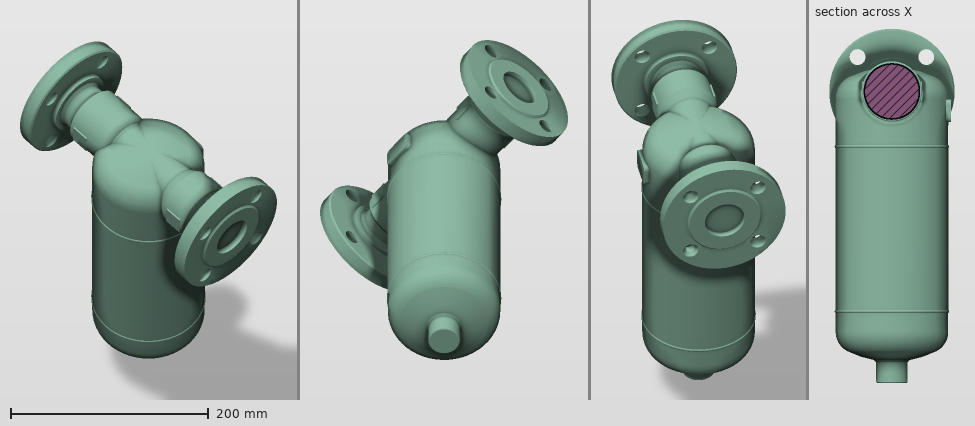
import cadquery as cq
import math


face_to_face = 251.0
flange_diameter = 127.0
flange_thickness = 16.0
flange_chamfer = 1.5
raised_face_diameter = 73.0
raised_face_height = 2.0
hub_diameter = 66.0
hub_length = 4.4
hub_fillet = 2.0
bolt_hole_diameter = 16.0
bolt_circle_diameter = 98.4
bolt_count = 4
bore_diameter = 41.2
bore_depth = 6.5

pipe_diameter = 49.1
weld_root_radius = 27.0
weld_length = 3.2
neck_end = 89.1
socket_cone_length = 3.9
socket_cone_radius = 28.3
socket_diameter = 61.0
socket_chamfer = 1.0
inlet_shoulder = 42.7
inlet_arc_end = 35.1
inlet_arc_end_radius = 25.5
inlet_blend_end = 31.9
outlet_cone_start = 54.6
outlet_cone_end = 43.8

pad_size = 20.0
pad_corner_radius = 1.0
pad_offset_x = 70.0

shell_diameter = 114.3
head_diameter = 114.0
crown_radius = 101.0
top_knuckle_radius = 24.3
bottom_knuckle_radius = 21.7
bottom_tangent_z = -243.5
weld_bead_z = (-55.7, -222.6)
weld_bead_width = 3.2
weld_bead_height = 1.0

drain_diameter = 32.0
drain_end_z = flange_diameter / 2 - 358.5
drain_chamfer = 1.0
drain_weld_size = 4.0
drain_weld_end_z = -274.0

plate_width = 33.5
plate_bottom_z = -31.0
plate_top_z = -8.0
plate_corner_radius = 5.0
plate_face_y = 60.0

head_radius = head_diameter / 2
half_length = face_to_face / 2
pipe_radius = pipe_diameter / 2
socket_radius = socket_diameter / 2


def revolve_about_x(outline):
    return outline.close().revolve(360, (0, 0, 0), (1, 0, 0))


def revolve_about_z(outline):
    return outline.close().revolve(360, (0, 0, 0), (0, 1, 0))


def make_flange():
    """Flange, hub and half of the plain pipe on the +X side."""
    flange_front = half_length - raised_face_height
    flange_back = flange_front - flange_thickness
    hub_end = flange_back - hub_length
    hub_radius = hub_diameter / 2
    flange_radius = flange_diameter / 2
    raised_face_radius = raised_face_diameter / 2
    outline = (
        cq.Workplane("XY")
        .moveTo(half_length, 0)
        .lineTo(half_length, raised_face_radius)
        .lineTo(flange_front, raised_face_radius + raised_face_height)
        .lineTo(flange_front, flange_radius)
        .lineTo(flange_back + flange_chamfer, flange_radius)
        .lineTo(flange_back, flange_radius - flange_chamfer)
        .lineTo(flange_back, hub_radius + hub_fillet)
        .radiusArc((flange_back - hub_fillet, hub_radius), hub_fillet)
        .lineTo(hub_end, hub_radius)
        .lineTo(hub_end, weld_root_radius)
        .lineTo(hub_end - weld_length, pipe_radius)
        .lineTo(0, pipe_radius)
        .lineTo(0, 0)
    )
    flange = revolve_about_x(outline)
    bolt_holes = (
        cq.Workplane("YZ")
        .workplane(offset=flange_back)
        .polarArray(bolt_circle_diameter / 2, 180 / bolt_count, 360, bolt_count)
        .circle(bolt_hole_diameter / 2)
        .extrude(flange_thickness)
    )
    bore = (
        cq.Workplane("YZ")
        .workplane(offset=half_length - bore_depth)
        .circle(bore_diameter / 2)
        .extrude(bore_depth)
    )
    return flange.cut(bolt_holes).cut(bore)


def start_socket_outline():
    """Welded outer end of a socket on the +X side, ending on the socket cylinder."""
    cone_end = neck_end - socket_cone_length
    return (
        cq.Workplane("XY")
        .moveTo(neck_end, 0)
        .lineTo(neck_end, pipe_radius)
        .lineTo(cone_end, socket_cone_radius)
        .lineTo(cone_end, socket_radius - socket_chamfer)
        .lineTo(cone_end - socket_chamfer, socket_radius)
    )


def add_pads(socket):
    """Square pads whose flat faces touch the front and back of the socket cylinder."""
    pads = (
        cq.Workplane("XY")
        .box(pad_size, socket_diameter, pad_size)
        .edges("|Y")
        .fillet(pad_corner_radius)
        .translate((pad_offset_x, 0, 0))
    )
    return socket.union(pads)


def make_inlet_socket():
    """Socket with a rounded shoulder, drawn on +X and mirrored to -X."""
    drop = socket_radius - inlet_arc_end_radius
    run = inlet_shoulder - inlet_arc_end
    shoulder_radius = (run**2 + drop**2) / (2 * drop)
    outline = (
        start_socket_outline()
        .lineTo(inlet_shoulder, socket_radius)
        .radiusArc((inlet_arc_end, inlet_arc_end_radius), -shoulder_radius)
        .lineTo(inlet_blend_end, pipe_radius)
        .lineTo(inlet_blend_end, 0)
    )
    return add_pads(revolve_about_x(outline)).mirror("YZ")


def make_outlet_socket():
    """Socket on +X with a conical shoulder."""
    outline = (
        start_socket_outline()
        .lineTo(outlet_cone_start, socket_radius)
        .lineTo(outlet_cone_end, pipe_radius)
        .lineTo(outlet_cone_end, 0)
    )
    return add_pads(revolve_about_x(outline))


def head_height(knuckle_radius):
    """Height of a domed head from its tangent line to its apex."""
    knuckle_center_r = head_radius - knuckle_radius
    return crown_radius - math.sqrt((crown_radius - knuckle_radius) ** 2 - knuckle_center_r**2)


def make_head(knuckle_radius, wall_length):
    """Head domed towards +Z: a spherical crown tangent to a knuckle, above a straight wall.

    The tangent line between the knuckle and the wall lies at Z = 0.
    """
    crown_center_z = head_height(knuckle_radius) - crown_radius
    knuckle_center_r = head_radius - knuckle_radius
    crown_angle = math.asin(knuckle_center_r / (crown_radius - knuckle_radius))
    knuckle_mid_angle = (crown_angle + math.pi / 2) / 2

    def crown_point(angle):
        return crown_radius * math.sin(angle), crown_center_z + crown_radius * math.cos(angle)

    knuckle_mid_point = (
        knuckle_center_r + knuckle_radius * math.sin(knuckle_mid_angle),
        knuckle_radius * math.cos(knuckle_mid_angle),
    )
    outline = (
        cq.Workplane("XZ")
        .moveTo(*crown_point(0))
        .threePointArc(crown_point(crown_angle / 2), crown_point(crown_angle))
        .threePointArc(knuckle_mid_point, (head_radius, 0))
        .lineTo(head_radius, -wall_length)
        .lineTo(0, -wall_length)
    )
    return revolve_about_z(outline)


def make_vessel():
    """Cylindrical shell between two domed heads; the top dome is level with the pipe crest."""
    upper_weld_z, lower_weld_z = weld_bead_z
    top_tangent_z = pipe_radius - head_height(top_knuckle_radius)
    shell = (
        cq.Workplane("XY")
        .workplane(offset=lower_weld_z)
        .circle(shell_diameter / 2)
        .extrude(upper_weld_z - lower_weld_z)
    )
    top_head = make_head(top_knuckle_radius, top_tangent_z - upper_weld_z)
    bottom_head = make_head(bottom_knuckle_radius, lower_weld_z - bottom_tangent_z).mirror("XY")
    top_head = top_head.translate((0, 0, top_tangent_z))
    bottom_head = bottom_head.translate((0, 0, bottom_tangent_z))
    return shell.union(top_head).union(bottom_head)


def make_weld_bead(center_z):
    """Rounded weld bead around the vessel."""
    bead_top = center_z + weld_bead_width / 2
    bead_bottom = center_z - weld_bead_width / 2
    outline = (
        cq.Workplane("XZ")
        .moveTo(0, bead_top)
        .lineTo(head_radius, bead_top)
        .threePointArc((head_radius + weld_bead_height, center_z), (head_radius, bead_bottom))
        .lineTo(0, bead_bottom)
    )
    return revolve_about_z(outline)


def make_drain():
    """Drain stub with a conical weld whose wide end lies inside the bottom head."""
    radius = drain_diameter / 2
    weld_top_z = drain_weld_end_z + drain_weld_size
    outline = (
        cq.Workplane("YZ")
        .moveTo(0, bottom_tangent_z)
        .lineTo(radius + drain_weld_size, bottom_tangent_z)
        .lineTo(radius + drain_weld_size, weld_top_z)
        .lineTo(radius, drain_weld_end_z)
        .lineTo(radius, drain_end_z + drain_chamfer)
        .lineTo(radius - drain_chamfer, drain_end_z)
        .lineTo(0, drain_end_z)
    )
    return revolve_about_z(outline)


def make_plate():
    """Rounded rectangular plate standing out of the +Y side of the top head."""
    height = plate_top_z - plate_bottom_z
    depth = plate_face_y - pipe_radius
    return (
        cq.Workplane("XY")
        .box(plate_width, depth, height)
        .edges("|Y")
        .fillet(plate_corner_radius)
        .translate((0, plate_face_y - depth / 2, (plate_top_z + plate_bottom_z) / 2))
    )


def make_flow_line():
    """Horizontal pipe with its two flanges and two sockets."""
    flange = make_flange()
    flow_line = flange.union(flange.mirror("YZ"))
    return flow_line.union(make_inlet_socket()).union(make_outlet_socket())


vessel = make_vessel()
for bead_z in weld_bead_z:
    vessel = vessel.union(make_weld_bead(bead_z))
vessel = vessel.union(make_drain()).union(make_plate())

result = vessel.union(make_flow_line())